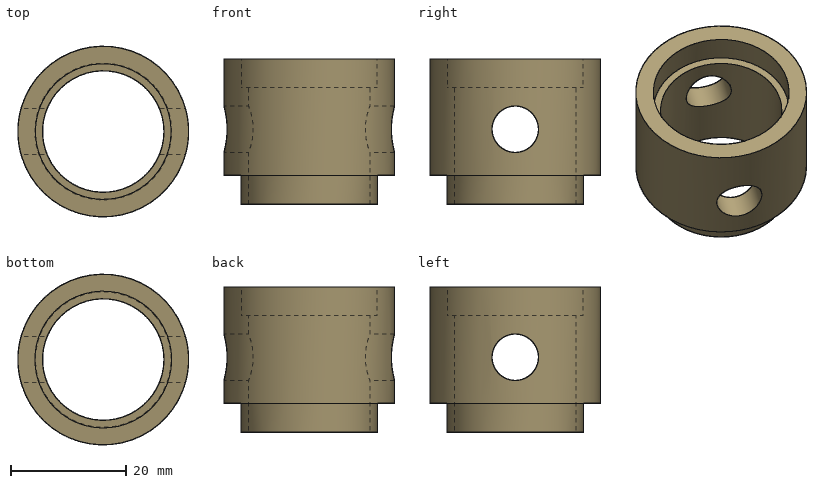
import cadquery as cq

body_diameter = 29.6
total_height = 25.2

spigot_diameter = 23.7
spigot_height = 5.0

bore_diameter = 21.0
socket_diameter = 23.5
socket_depth = 5.0

cross_hole_diameter = 8.0
cross_hole_height = 13.0


def cylinder(diameter, bottom, height):
    """Upright cylinder on the Z axis, starting at the given height."""
    return cq.Workplane("XY").workplane(offset=bottom).circle(diameter / 2).extrude(height)


def make_outer_shape():
    """Main body standing on the narrower spigot."""
    spigot = cylinder(spigot_diameter, 0, spigot_height)
    body = cylinder(body_diameter, spigot_height, total_height - spigot_height)
    return spigot.union(body)


def make_stepped_bore():
    """Through bore widened into a socket at the top."""
    bore = cylinder(bore_diameter, 0, total_height)
    socket = cylinder(socket_diameter, total_height - socket_depth, socket_depth)
    return bore.union(socket)


def make_cross_hole():
    """Horizontal hole along X, spanning the full body diameter."""
    return (
        cq.Workplane("YZ")
        .center(0, cross_hole_height)
        .circle(cross_hole_diameter / 2)
        .extrude(body_diameter / 2, both=True)
    )


result = make_outer_shape().cut(make_stepped_bore()).cut(make_cross_hole())